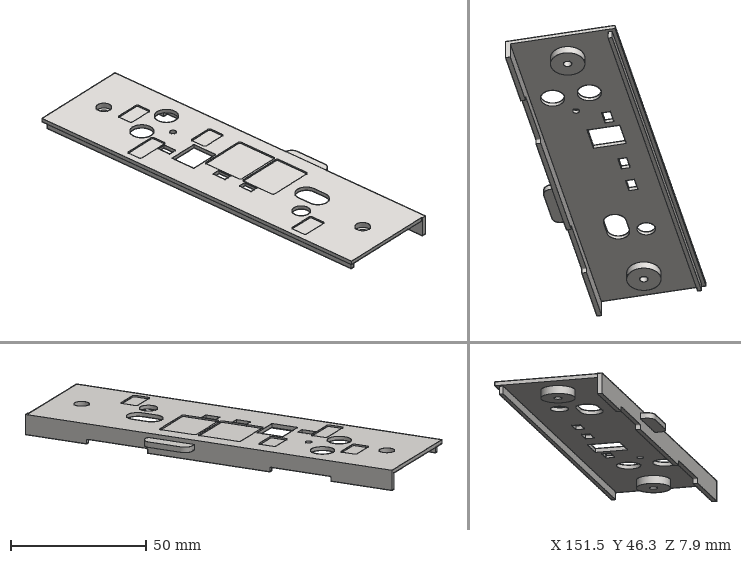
import cadquery as cq

wall_length = 151.5
panel_length = 151.0
panel_width = 41.5
panel_thickness = 1.5

wall_height = 7.9
wall_thickness = 1.8
notch_length = wall_length / 6
notch_depth = 1.8
notch_corner_radius = 0.5
notch_centers_x = (wall_length / 4, wall_length * 3 / 4)

lip_thickness = 1.5
lip_inset = 1.4
lip_height = 4.5

tab_length = 19.4
tab_reach = 4.8
tab_thickness = 2.1
tab_top = -1.7
tab_center_x = 91.4
tab_corner_radius = 3.0

boss_diameter = 12.7
boss_height = lip_height
boss_inset_x = 12.5
boss_y = 20.8
screw_hole_diameter = 3.0
screw_head_diameter = 5.8
screw_head_depth = 2.1

round_openings = (
    (9.0, 33.8, 31.4),
    (9.0, 33.8, 17.5),
    (2.5, 42.9, 24.5),
    (6.8, 114.3, 14.2),
)

switch_length = 5.8
switch_width = 3.3
switch_y = 14.0
rectangular_openings = (
    (10.6, 12.5, 59.7, 16.8),
    (switch_length, switch_width, 49.0, switch_y),
    (switch_length, switch_width, 75.9, switch_y),
    (switch_length, switch_width, 88.6, switch_y),
)

slot_length = 14.1
slot_width = 8.5
slot_center = (110.6, 24.7)

label_depth = 0.6
label_corner_radius = 0.8
label_recesses = (
    (6.5, 10.9, 23.8, 24.7),
    (6.5, 14.2, 42.6, 9.8),
    (7.0, 10.6, 55.0, 29.9),
    (17.5, 19.7, 74.5, 25.8),
    (15.2, 19.7, 91.7, 25.8),
    (7.0, 11.0, 122.7, 8.2),
)


def block(x_range, y_range, z_range):
    """Box spanning the given ranges."""
    (x0, x1), (y0, y1), (z0, z1) = x_range, y_range, z_range
    return cq.Workplane("XY").box(x1 - x0, y1 - y0, z1 - z0, centered=False).translate((x0, y0, z0))


def centered_block(length, width, x, y, top, height):
    """Box centred on x, y that reaches down from the given top."""
    x_range = (x - length / 2, x + length / 2)
    y_range = (y - width / 2, y + width / 2)
    return block(x_range, y_range, (top - height, top))


def cylinder(diameter, x, y, top, height):
    """Upright cylinder that reaches down from the given top."""
    return cq.Workplane("XY", origin=(x, y, top)).circle(diameter / 2).extrude(-height)


def rear_wall():
    wall = block((0, wall_length), (panel_width - wall_thickness, panel_width), (-wall_height, 0))
    notch_y = panel_width - wall_thickness / 2
    notch_top = notch_depth - wall_height
    for x in notch_centers_x:
        notch = centered_block(notch_length, wall_thickness, x, notch_y, notch_top, notch_depth)
        wall = wall.cut(notch.edges("|Y and >Z").fillet(notch_corner_radius))
    return wall


def front_lip():
    y_range = (lip_inset, lip_inset + lip_thickness)
    return block((lip_inset, panel_length - lip_inset), y_range, (-lip_height, 0))


def locating_tab():
    y = panel_width + tab_reach / 2
    tab = centered_block(tab_length, tab_reach, tab_center_x, y, tab_top, tab_thickness)
    return tab.edges("|Z and >Y").fillet(tab_corner_radius)


result = block((0, panel_length), (0, panel_width), (-panel_thickness, 0))
result = result.union(rear_wall()).union(front_lip()).union(locating_tab())

for x in (boss_inset_x, panel_length - boss_inset_x):
    result = result.union(cylinder(boss_diameter, x, boss_y, 0, boss_height))
    result = result.cut(cylinder(screw_hole_diameter, x, boss_y, 0, boss_height))
    result = result.cut(cylinder(screw_head_diameter, x, boss_y, 0, screw_head_depth))

for length, width, x, y in label_recesses:
    recess = centered_block(length, width, x, y, 0, label_depth)
    result = result.cut(recess.edges("|Z").fillet(label_corner_radius))

for diameter, x, y in round_openings:
    result = result.cut(cylinder(diameter, x, y, 0, panel_thickness))
for length, width, x, y in rectangular_openings:
    result = result.cut(centered_block(length, width, x, y, 0, panel_thickness))
slot = cq.Workplane("XY").center(*slot_center).slot2D(slot_length, slot_width).extrude(-panel_thickness)
result = result.cut(slot)